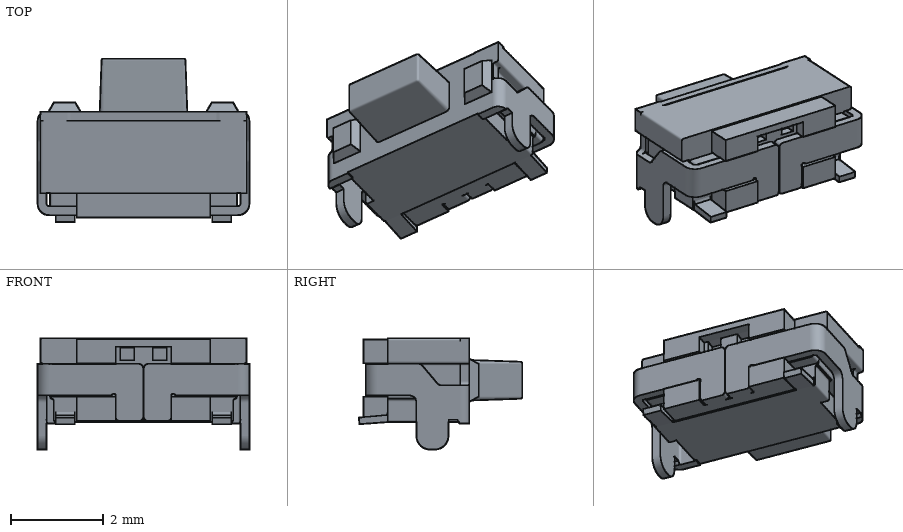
import cadquery as cq
import math

PICK_TOLERANCE = 0.01

COVER_HALF_WIDTH = 2.24
COVER_DEPTH = 1.77
COVER_TOP = 2.42
COVER_BOTTOM = 1.863
COVER_EDGE_RADIUS = 0.055
LIP_DEPTH = 0.2
LIP_RECESS_HALF_WIDTH = 1.65
LIP_RECESS_SLOPE = 0.07
LIP_RECESS_DEPTH = 0.015

CAGE_WIDTH = 4.6
CAGE_DEPTH = 2.25
SHEET = 0.2
FRONT_BEND_RADIUS = 0.25
REAR_BEND_RADIUS = 0.205
CAGE_TOP = 1.86
ARM_BOTTOM = 1.176
SHOULDER_TOP = 1.398
REAR_WALL_BOTTOM = 0.567
REAR_FOOT_INNER_X = 1.7
REAR_COVE_RADIUS = 0.086
SIDE_NOTCH_TOP = 0.645
SIDE_NOTCH_SLOPE = 0.05
SIDE_NOTCH_START = 0.21
LEG_REAR = 0.45
LEG_WIDTH = 0.7
LEG_TIP_RADIUS = 0.3
LEG_ROOT_RADIUS = 0.15
SLOPE_REAR = 0.66
SLOPE_FRONT = 1.05
SLOPE_RADIUS = 0.1
TAB_HALF_WIDTH = 0.6
TAB_CORNER_RADIUS = 0.07
TAB_TOP_RADIUS = 0.09
SEAM_GAP = 0.02
RELIEF_RADIUS = 0.045
RELIEF_DROP = 0.01

CORE_HALF_WIDTH = 2.03
CORE_BOTTOM = 1.105
CORE_FRONT_BOTTOM = 1.148
CORE_EDGE_RADIUS = 0.06
CORE_FRONT_TOP = 1.85
CORE_COVE_RADIUS = 0.038

BASE_HALF_WIDTH = 1.945
BASE_BOTTOM = 0.595
BASE_EDGE_RADIUS = 0.05
LEG_CLEARANCE_FRONT = 1.08
LEG_CLEARANCE_DEPTH = 0.2

FLANGE_HALF_WIDTH = 1.45
FLANGE_FRONT = 2.3
UPPER_FLANGE_BOTTOM = 1.873
UPPER_FLANGE_TOP = 2.39
LOWER_FLANGE_BOTTOM = 0.627
RECESS_TOP = 2.237
POCKET_INNER_X = 0.2
POCKET_OUTER_X = 0.505
POCKET_BOTTOM = 1.94
POCKET_DEPTH = 0.2
POCKET_CEILING_DROP = 0.027

TERMINAL_INNER_X = 1.487
TERMINAL_OUTER_X = 1.907
TERMINAL_END = 2.4
TERMINAL_BEND = 0.02
TERMINAL_ROOT_TOP = 0.812
TERMINAL_BEND_TOP = 0.75
TERMINAL_TIP_TOP = 0.697
TERMINAL_TIP_BOTTOM = 0.55
TERMINAL_END_LEAN = 0.015

PLUNGER_LENGTH = 1.15
PLUNGER_BASE = (1.904, 0.885)
PLUNGER_DRAFT = 0.04
PLUNGER_BASE_CORNER_RADIUS = 0.09
PLUNGER_TIP_RADIUS = 0.045
STOP_CENTER_X = 1.7125
STOP_BASE = (0.695, 0.94)
STOP_LENGTH = 0.2
STOP_TAPER = 30
AXIS_Z = (COVER_BOTTOM + CORE_FRONT_BOTTOM) / 2

CAGE_HALF_WIDTH = CAGE_WIDTH / 2
CAGE_INNER_HALF_WIDTH = CAGE_HALF_WIDTH - SHEET
CAGE_INNER_DEPTH = CAGE_DEPTH - SHEET


def span(x, y, z):
    """Box between the (low, high) limits along each axis."""
    size = [high - low for low, high in (x, y, z)]
    corner = tuple(low for low, high in (x, y, z))
    return cq.Workplane("XY").box(*size, centered=False).translate(corner)


def wide(half_width, y, z):
    """Box centred on X."""
    return span((-half_width, half_width), y, z)


def mirrored(solid):
    """The solid together with its mirror image across X = 0."""
    return solid.union(solid.mirror("YZ"))


def xz_prism(outline, y):
    """Prism of an XZ outline between two Y limits."""
    return outline.extrude(y[0] - y[1]).translate((0, y[0], 0))


def side_cove(x, z, radius, y):
    """Concave blends between walls at +-x and a level face at z; a negative radius blends downward."""
    outline = (
        cq.Workplane("XZ")
        .moveTo(x, z + radius)
        .radiusArc((x + abs(radius), z), -radius)
        .lineTo(x, z)
        .close()
    )
    return mirrored(xz_prism(outline, y))


def cover():
    body = wide(COVER_HALF_WIDTH, (-COVER_DEPTH, 0), (COVER_BOTTOM, COVER_TOP))
    body = body.edges("|Y and <Z").fillet(COVER_EDGE_RADIUS)
    front = wide(COVER_HALF_WIDTH, (-COVER_DEPTH, -LIP_DEPTH), (COVER_BOTTOM, COVER_TOP))
    front = front.edges("|Y").fillet(COVER_EDGE_RADIUS)
    lip = body.intersect(wide(CAGE_WIDTH, (-LIP_DEPTH, 0), (0, COVER_TOP)))
    floor_z = COVER_TOP - LIP_RECESS_DEPTH
    floor_x = LIP_RECESS_HALF_WIDTH - LIP_RECESS_SLOPE
    recess = xz_prism(
        cq.Workplane("XZ").polyline([
            (-LIP_RECESS_HALF_WIDTH, COVER_TOP),
            (-floor_x, floor_z),
            (floor_x, floor_z),
            (LIP_RECESS_HALF_WIDTH, COVER_TOP),
        ]).close(),
        (-LIP_DEPTH, 0),
    )
    return front.union(lip).cut(recess)


def upper_flange():
    flange = wide(FLANGE_HALF_WIDTH, (-FLANGE_FRONT, -COVER_DEPTH), (UPPER_FLANGE_BOTTOM, UPPER_FLANGE_TOP))
    flange = flange.union(
        wide(TAB_HALF_WIDTH, (-CAGE_INNER_DEPTH, -COVER_DEPTH), (CORE_FRONT_TOP, UPPER_FLANGE_TOP))
    )
    recess = wide(TAB_HALF_WIDTH, (-FLANGE_FRONT, -CAGE_INNER_DEPTH), (CAGE_TOP, RECESS_TOP))
    pocket_back = -CAGE_INNER_DEPTH + POCKET_DEPTH
    pocket = (
        cq.Workplane("YZ")
        .polyline([
            (-CAGE_INNER_DEPTH, POCKET_BOTTOM),
            (-CAGE_INNER_DEPTH, RECESS_TOP),
            (pocket_back, RECESS_TOP - POCKET_CEILING_DROP),
            (pocket_back, POCKET_BOTTOM),
        ])
        .close()
        .extrude(POCKET_OUTER_X - POCKET_INNER_X)
        .translate((POCKET_INNER_X, 0, 0))
    )
    return flange.cut(recess).cut(mirrored(pocket))


def core():
    rear = wide(CORE_HALF_WIDTH, (-COVER_DEPTH, 0), (CORE_BOTTOM, COVER_BOTTOM))
    rear = rear.edges("|Y and <Z").fillet(CORE_EDGE_RADIUS)
    front = wide(CORE_HALF_WIDTH, (-CAGE_INNER_DEPTH, -COVER_DEPTH), (CORE_FRONT_BOTTOM, CORE_FRONT_TOP))
    front = front.edges("|Y").fillet(CORE_EDGE_RADIUS)
    cove = side_cove(CORE_HALF_WIDTH, COVER_BOTTOM, -CORE_COVE_RADIUS, (-COVER_DEPTH, 0))
    return rear.union(front).union(cove)


def base():
    block = wide(BASE_HALF_WIDTH, (-COVER_DEPTH, 0), (BASE_BOTTOM, CORE_BOTTOM))
    block = block.edges("|Y and <Z").fillet(BASE_EDGE_RADIUS)
    cove = side_cove(BASE_HALF_WIDTH, CORE_BOTTOM, -CORE_EDGE_RADIUS, (-COVER_DEPTH, 0))
    leg_clearance = span(
        (BASE_HALF_WIDTH - LEG_CLEARANCE_DEPTH, CAGE_HALF_WIDTH),
        (-LEG_CLEARANCE_FRONT, -SHEET),
        (0, CORE_BOTTOM),
    )
    return block.union(cove).cut(mirrored(leg_clearance))


def lower_flange():
    flange = wide(FLANGE_HALF_WIDTH, (-FLANGE_FRONT, -COVER_DEPTH), (LOWER_FLANGE_BOTTOM, CORE_FRONT_BOTTOM))
    tab_clearance = wide(TAB_HALF_WIDTH, (-FLANGE_FRONT, -CAGE_INNER_DEPTH), (0, CAGE_TOP))
    return flange.cut(tab_clearance)


def cage_side_profile():
    """Side outline of the cage, extruded across the full width."""
    leg_front = -LEG_REAR - LEG_WIDTH
    notch_rear = -SIDE_NOTCH_START - SIDE_NOTCH_SLOPE
    profile = (
        cq.Workplane("YZ")
        .polyline([
            (0, REAR_WALL_BOTTOM),
            (0, SHOULDER_TOP),
            (-SLOPE_REAR, SHOULDER_TOP),
            (-SLOPE_FRONT, CAGE_TOP),
            (-CAGE_DEPTH, CAGE_TOP),
            (-CAGE_DEPTH, ARM_BOTTOM),
            (leg_front, ARM_BOTTOM),
            (leg_front, 0),
            (-LEG_REAR, 0),
            (-LEG_REAR, SIDE_NOTCH_TOP),
            (notch_rear, SIDE_NOTCH_TOP),
            (-SIDE_NOTCH_START, REAR_WALL_BOTTOM),
        ])
        .close()
        .extrude(CAGE_HALF_WIDTH, both=True)
    )

    def corner(y, z):
        return cq.selectors.BoxSelector(
            (-CAGE_WIDTH, y - PICK_TOLERANCE, z - PICK_TOLERANCE),
            (CAGE_WIDTH, y + PICK_TOLERANCE, z + PICK_TOLERANCE),
        )

    profile = profile.edges(corner(leg_front, 0)).fillet(LEG_TIP_RADIUS)
    profile = profile.edges(corner(-LEG_REAR, 0)).fillet(LEG_TIP_RADIUS)
    profile = profile.edges(corner(leg_front, ARM_BOTTOM)).fillet(LEG_ROOT_RADIUS)
    profile = profile.edges(corner(-SLOPE_REAR, SHOULDER_TOP)).fillet(SLOPE_RADIUS)
    return profile.edges(corner(-SLOPE_FRONT, CAGE_TOP)).fillet(SLOPE_RADIUS)


def cage_envelope():
    block = wide(CAGE_HALF_WIDTH, (-CAGE_DEPTH, 0), (0, CAGE_TOP))
    block = block.edges("|Z and <Y").fillet(FRONT_BEND_RADIUS)
    return block.edges("|Z and >Y").fillet(REAR_BEND_RADIUS)


def cage_wall():
    """Bent sheet ring with the side outline, before the front tab and the rear wall are shaped."""
    inner = wide(CAGE_INNER_HALF_WIDTH, (-CAGE_INNER_DEPTH, -SHEET), (0, CAGE_TOP))
    inner = inner.edges("|Z").fillet(FRONT_BEND_RADIUS - SHEET)
    ring = cage_envelope().cut(inner).intersect(cage_side_profile())
    rear_opening = wide(REAR_FOOT_INNER_X, (-SHEET, 0), (0, BASE_BOTTOM))
    return ring.cut(rear_opening)


def cage_rear_wall():
    """Upper rear wall, narrower than the shoulders and blended into them."""
    half_width = CAGE_INNER_HALF_WIDTH
    wall = wide(half_width, (-SHEET, 0), (SHOULDER_TOP, COVER_BOTTOM + COVER_EDGE_RADIUS))
    rear_y = (-SHEET, 0)
    lower_cove = side_cove(half_width, SHOULDER_TOP, REAR_COVE_RADIUS, rear_y).intersect(cage_envelope())
    upper_cove = side_cove(half_width, COVER_BOTTOM, -CORE_COVE_RADIUS, rear_y)
    return wall.union(lower_cove).union(upper_cove)


def cage_front_tab():
    """Half of the front tab, hanging from the arm and reaching the centre seam."""
    tab = span(
        (SEAM_GAP / 2, TAB_HALF_WIDTH),
        (-CAGE_DEPTH, -CAGE_INNER_DEPTH),
        (LOWER_FLANGE_BOTTOM, CAGE_TOP),
    )
    tab = tab.edges("|Y and <Z").fillet(TAB_CORNER_RADIUS)
    return tab.edges("|Y and >Z and <X").fillet(TAB_TOP_RADIUS)


def cage():
    front_y = (-CAGE_DEPTH, -CAGE_INNER_DEPTH)
    center_opening = wide(TAB_HALF_WIDTH, front_y, (0, CAGE_TOP))
    relief_center = (TAB_HALF_WIDTH + RELIEF_RADIUS, ARM_BOTTOM - RELIEF_DROP)
    relief = xz_prism(cq.Workplane("XZ").center(*relief_center).circle(RELIEF_RADIUS), front_y)
    wall = cage_wall().cut(center_opening).cut(mirrored(relief))
    return wall.union(mirrored(cage_front_tab())).union(cage_rear_wall())


def terminals():
    profile = cq.Workplane("YZ").polyline([
        (-COVER_DEPTH, TERMINAL_ROOT_TOP),
        (-COVER_DEPTH - TERMINAL_BEND, TERMINAL_BEND_TOP),
        (-TERMINAL_END, TERMINAL_TIP_TOP),
        (-TERMINAL_END + TERMINAL_END_LEAN, TERMINAL_TIP_BOTTOM),
        (-COVER_DEPTH, BASE_BOTTOM),
    ]).close()
    terminal = profile.extrude(TERMINAL_OUTER_X - TERMINAL_INNER_X).translate((TERMINAL_INNER_X, 0, 0))
    return mirrored(terminal)


def rear_face():
    """Workplane on the rear face, facing +Y, centred on the plunger axis."""
    return cq.Workplane("XZ", origin=(0, 0, AXIS_Z))


def plunger():
    taper = math.degrees(math.atan(PLUNGER_DRAFT / PLUNGER_LENGTH))
    section = cq.Sketch().rect(*PLUNGER_BASE).vertices().fillet(PLUNGER_BASE_CORNER_RADIUS)
    block = rear_face().placeSketch(section).extrude(-PLUNGER_LENGTH, taper=taper)
    return block.faces(">Y").edges().fillet(PLUNGER_TIP_RADIUS)


def stops():
    stop = rear_face().center(STOP_CENTER_X, 0).rect(*STOP_BASE).extrude(-STOP_LENGTH, taper=STOP_TAPER)
    return mirrored(stop)


result = cover()
for feature in (upper_flange, core, base, lower_flange, cage, terminals, plunger, stops):
    result = result.union(feature())